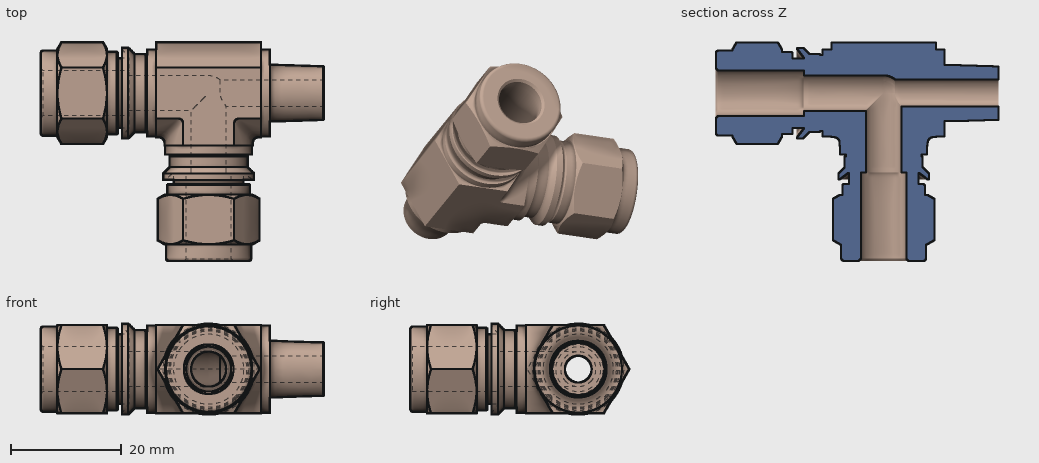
import cadquery as cq
import math


ACROSS_FLATS = 16.0
BODY_REACH = 9.5
CROTCH_RADIUS = 1.0

ARM_COLLAR_END = 11.15
RELIEF_END = 11.45
SEAT_END = 13.4
CONE_END = 14.55
FLANGE_END = 15.7
GROOVE_END = 16.4
NECK_END = 18.35
HEX_END = 27.4
ARM_END = 30.41

COLLAR_DIA = 15.8
RELIEF_DIA = 13.8
SEAT_DIA = 14.2
FLANGE_DIA = 16.5
FLANGE_CUP_DIA = 16.0
FLANGE_CUP_DEPTH = 1.25
GROOVE_DIA = 12.7
NECK_DIA = 15.0
NUT_END_DIA = 15.5
NUT_END_FILLET = 0.6
HEX_FACE_DIA = 15.8
HEX_CHAMFER_ANGLE = 30.0
NECK_CHAMFER = 0.25

BORE_DIA = 6.35
SOCKET_DIA = 8.14
SOCKET_DEPTH = 16.0
MOUTH_DIA = 9.0

STUB_COLLAR_END = 11.06
STUB_TAPER_START = 12.3
STUB_END = 20.86
STUB_DIA = 10.28
STUB_TAPER = 1 / 16
STUB_END_CHAMFER = 0.15
STUB_BORE_DIA = 4.8

POSITION_TOLERANCE = 1e-3


def hex_bar(start, end):
    """Hexagonal bar along X with flats at +-Z and corners at +-Y."""
    across_corners = ACROSS_FLATS / math.cos(math.radians(30))
    return cq.Workplane("YZ", origin=(start, 0, 0)).polygon(6, across_corners).extrude(end - start)


def disc(start, end, diameter):
    """Round bar along X."""
    return cq.Workplane("YZ", origin=(start, 0, 0)).circle(diameter / 2).extrude(end - start)


def revolve_about_x(outline):
    """Solid of revolution about X from an outline of (x, radius) points."""
    return cq.Workplane("XY").polyline(outline).close().revolve(360, (0, 0, 0), (1, 0, 0))


def to_branch(solid):
    """Turn a solid about Z so that its -X end points along -Y."""
    return solid.rotate((0, 0, 0), (0, 0, 1), 90)


def rounded_hex_bar(start, end, rounded_sides):
    """Hexagonal bar whose corners on the given Y sides (+1 or -1) follow its inscribed circle."""
    tangent_y = ACROSS_FLATS / 2 * math.cos(math.radians(30))
    bar = hex_bar(start, end)
    inscribed = disc(start, end, ACROSS_FLATS)
    for side in rounded_sides:
        corner_space = (
            cq.Workplane("XY")
            .box(end - start, ACROSS_FLATS, ACROSS_FLATS)
            .translate(((start + end) / 2, side * (tangent_y + ACROSS_FLATS / 2), 0))
        )
        bar = bar.cut(corner_space.cut(inscribed))
    return bar


def make_body():
    """Hexagonal run along X joined by a hexagonal branch towards -Y."""
    run = rounded_hex_bar(-BODY_REACH, BODY_REACH, [-1])
    branch = to_branch(rounded_hex_bar(-BODY_REACH, 0, [1, -1]))
    return fillet_crotch(run.union(branch))


def make_arm():
    """Outside of a tube-fitting arm, pointing along -X."""
    sections = [
        (BODY_REACH, ARM_COLLAR_END, COLLAR_DIA),
        (ARM_COLLAR_END, RELIEF_END, RELIEF_DIA),
        (RELIEF_END, SEAT_END, SEAT_DIA),
        (CONE_END, FLANGE_END, FLANGE_DIA),
        (FLANGE_END, GROOVE_END, GROOVE_DIA),
    ]
    arm = make_nut()
    for inner, outer, diameter in sections:
        arm = arm.union(disc(-outer, -inner, diameter))
    cone = [(-SEAT_END, 0), (-SEAT_END, SEAT_DIA / 2), (-CONE_END, FLANGE_DIA / 2), (-CONE_END, 0)]
    return arm.union(revolve_about_x(cone)).cut(make_flange_cup())


def make_flange_cup():
    """Conical recess in the flange face, running in to the groove diameter."""
    return revolve_about_x([
        (-FLANGE_END, GROOVE_DIA / 2),
        (-FLANGE_END, FLANGE_CUP_DIA / 2),
        (-FLANGE_END + FLANGE_CUP_DEPTH, GROOVE_DIA / 2),
    ])


def make_nut():
    """Hexagon chamfered at both ends, with a round outer end and a round neck."""
    slope = math.tan(math.radians(HEX_CHAMFER_ANGLE))
    face = HEX_FACE_DIA / 2
    rim = ACROSS_FLATS
    envelope = revolve_about_x([
        (-HEX_END, 0),
        (-HEX_END, face),
        (-HEX_END + (rim - face) * slope, rim),
        (-NECK_END - (rim - face) * slope, rim),
        (-NECK_END, face),
        (-NECK_END, 0),
    ])
    neck = disc(-NECK_END, -GROOVE_END, NECK_DIA).faces(">X").edges().chamfer(NECK_CHAMFER)
    round_end = disc(-ARM_END, -HEX_END, NUT_END_DIA).faces("<X").edges().fillet(NUT_END_FILLET)
    return hex_bar(-HEX_END, -NECK_END).intersect(envelope).union(neck).union(round_end)


def make_stub():
    """Outside of the male stub along +X: a collar and a slightly tapered stem."""
    end_radius = (STUB_DIA - STUB_TAPER * (STUB_END - STUB_TAPER_START)) / 2
    collar = disc(BODY_REACH, STUB_COLLAR_END, COLLAR_DIA)
    stem = revolve_about_x([
        (STUB_COLLAR_END, 0),
        (STUB_COLLAR_END, STUB_DIA / 2),
        (STUB_TAPER_START, STUB_DIA / 2),
        (STUB_END, end_radius),
        (STUB_END, 0),
    ])
    return collar.union(stem.faces(">X").edges().chamfer(STUB_END_CHAMFER))


def make_arm_bore():
    """Bore from the origin out to the mouth of the -X arm."""
    mouth_chamfer = (MOUTH_DIA - SOCKET_DIA) / 2
    return revolve_about_x([
        (0, 0),
        (0, BORE_DIA / 2),
        (-ARM_END + SOCKET_DEPTH, BORE_DIA / 2),
        (-ARM_END + SOCKET_DEPTH, SOCKET_DIA / 2),
        (-ARM_END + mouth_chamfer, SOCKET_DIA / 2),
        (-ARM_END, MOUTH_DIA / 2),
        (-ARM_END, 0),
    ])


def is_crotch_edge(edge):
    """True for edges in the two diagonal planes where the branch meets the run."""
    center = edge.Center()
    return center.y < 0 and abs(abs(center.x) - abs(center.y)) < POSITION_TOLERANCE


def fillet_crotch(body):
    """Fillet the inner corners where the branch leaves the run, on both X sides."""
    edges = [edge for edge in body.edges().vals() if is_crotch_edge(edge)]
    return body.newObject(edges).fillet(CROTCH_RADIUS)


def make_bores():
    """Arm bores ending in a ball at the origin, plus the narrower bore through the stub."""
    arm_bore = make_arm_bore()
    elbow = cq.Workplane("XY").sphere(BORE_DIA / 2)
    return arm_bore.union(to_branch(arm_bore)).union(elbow).union(disc(0, STUB_END, STUB_BORE_DIA))


arm = make_arm()
outside = make_body().union(arm).union(to_branch(arm)).union(make_stub())
result = outside.cut(make_bores())